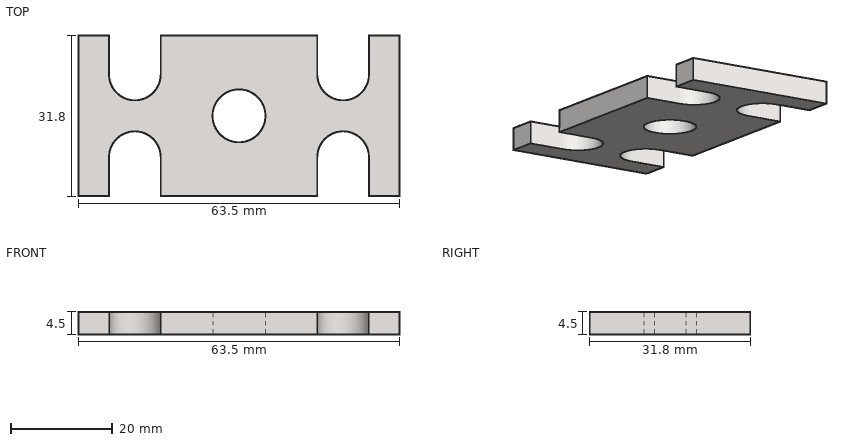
import cadquery as cq

length = 63.5
width = 31.75
thickness = 4.5

hole_diameter = 10.4

slot_width = 10.15
slot_offset = 20.6
web_width = 6.15

slot_radius = slot_width / 2
slot_end_y = web_width / 2
arc_center_y = slot_end_y + slot_radius
edge_y = width / 2


def edge_slot(center_x, side):
    """Cutter for one slot; side is +1 for the +Y edge and -1 for the -Y edge."""
    left = center_x - slot_radius
    right = center_x + slot_radius
    return (
        cq.Workplane("XY")
        .moveTo(left, side * edge_y)
        .lineTo(left, side * arc_center_y)
        .threePointArc((center_x, side * slot_end_y), (right, side * arc_center_y))
        .lineTo(right, side * edge_y)
        .close()
        .extrude(thickness)
    )


plate = cq.Workplane("XY").box(length, width, thickness, centered=(True, True, False))
plate = plate.faces(">Z").workplane().hole(hole_diameter)

for center_x in (-slot_offset, slot_offset):
    for side in (-1, 1):
        plate = plate.cut(edge_slot(center_x, side))

result = plate